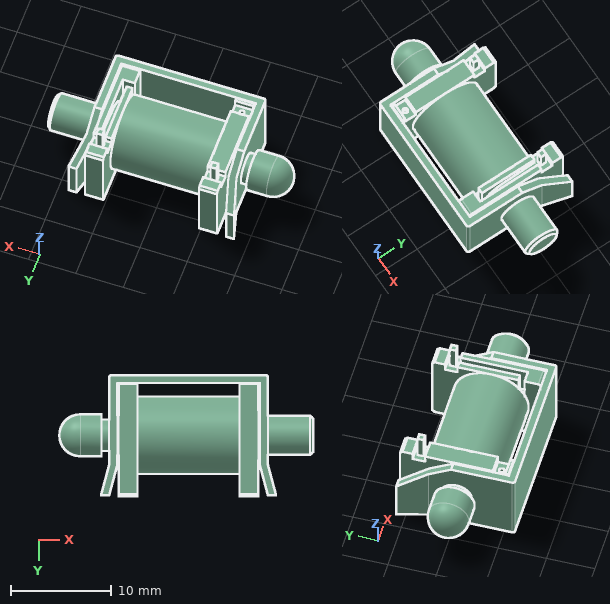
import cadquery as cq
import math


frame_length = 15.8
frame_half_depth = 6.0
half_height = 3.87
sheet = 0.8
frame_corner_radius = 0.25
flare_angle = 15.0
flare_start_y = 2.9
arm_slope_start_y = 0.55
arm_tip_z = 0.48

bobbin_length = 13.92
flange_thickness = 1.9
flange_front_y = -5.1
flange_back_y = 6.1
flange_edge = 0.25
barrel_radius = 2.8
bore_radius = 2.0
collar_radius = 2.5

pin_width = 0.63
pin_height = 2.5
pin_y = 4.15
notch_width = 1.3
notch_depth = 0.78
peg_hole_diameter = 0.53
peg_hole_depth = 0.63
passage_front_y = -3.45
ramp_top_z = 1.04

plunger_radius = 1.95
plunger_end_x = 12.42
plunger_chamfer = 0.3
neck_radius = 1.6
tip_radius = 2.1
tip_length = 4.23
tip_base_x = -8.65

frame_half = frame_length / 2
wall_inside = frame_half - sheet
bobbin_half = bobbin_length / 2
flange_inside = bobbin_half - flange_thickness
pin_x = bobbin_half - flange_thickness / 2
notch_floor = half_height - notch_depth
notch_inner_y = pin_y - notch_width / 2


def box(x0, x1, y0, y1, z0, z1):
    """Block between two opposite corners."""
    return cq.Workplane("XY").box(x1 - x0, y1 - y0, z1 - z0, centered=False).translate((x0, y0, z0))


def rod(radius, x0, x1):
    """Cylinder on the X axis."""
    return cq.Workplane("YZ").workplane(offset=x0).circle(radius).extrude(x1 - x0)


def make_frame():
    """Wall on the -Y side of the coil with two arms that flare outward at their free ends."""
    slope = math.tan(math.radians(flare_angle))
    inner_bend_y = flare_start_y + sheet * math.tan(math.radians(flare_angle / 2))
    outer_flare = (frame_half_depth - flare_start_y) * slope
    inner_flare = (frame_half_depth - inner_bend_y) * slope
    right_outer = [
        (frame_half, -frame_half_depth),
        (frame_half, flare_start_y),
        (frame_half + outer_flare, frame_half_depth),
    ]
    right_inner = [
        (wall_inside + inner_flare, frame_half_depth),
        (wall_inside, inner_bend_y),
        (wall_inside, sheet - frame_half_depth),
    ]
    right_side = right_outer + right_inner
    left_side = [(-x, y) for x, y in reversed(right_side)]
    frame = (
        cq.Workplane("XY")
        .workplane(offset=-half_height)
        .polyline(right_side + left_side)
        .close()
        .extrude(2 * half_height)
    )
    frame = frame.edges("|Z and <Y").fillet(frame_corner_radius)

    corner = (
        cq.Workplane("YZ")
        .polyline([
            (arm_slope_start_y, half_height),
            (frame_half_depth, arm_tip_z),
            (frame_half_depth, half_height),
        ])
        .close()
        .extrude(frame_length, both=True)
    )
    frame = frame.cut(corner)

    frame = frame.cut(rod(neck_radius, -frame_half, 0))
    return frame.cut(rod(plunger_radius, 0, frame_half))


def make_flange(x0):
    """Flange starting at x0, with its back edges chamfered and a notch for its pin."""
    flange = box(x0, x0 + flange_thickness, flange_front_y, flange_back_y, -half_height, half_height)
    flange = flange.edges("|X and >Y").chamfer(flange_edge)
    return flange.cut(make_notch(x0, pin_y))


def make_notch(x0, y):
    """Cutter for a notch across the top of a flange, centred on y."""
    half = notch_width / 2
    return box(x0, x0 + flange_thickness, y - half, y + half, notch_floor, half_height)


def make_wire_passage():
    """Slot in the right flange that leads the wire from the coil up to the pin."""
    slot_x0 = pin_x - pin_width / 2
    slot_x1 = pin_x + pin_width / 2
    channel = (
        cq.Workplane("YZ")
        .workplane(offset=slot_x0)
        .polyline([
            (0, barrel_radius),
            (notch_inner_y, notch_floor),
            (notch_inner_y, half_height),
            (0, half_height),
        ])
        .close()
        .extrude(pin_width)
    )
    ramp_bottom_z = ramp_top_z - (slot_x1 - flange_inside)
    pocket = (
        cq.Workplane("XZ")
        .polyline([
            (flange_inside, ramp_bottom_z),
            (slot_x1, ramp_top_z),
            (slot_x1, half_height),
            (flange_inside, half_height),
        ])
        .close()
        .extrude(-passage_front_y)
    )
    guide_wall = box(flange_inside, slot_x0, -barrel_radius, 0, -half_height, half_height)
    pocket = pocket.cut(guide_wall).cut(rod(barrel_radius, 0, bobbin_half))
    return channel.union(pocket)


def make_bobbin():
    """Two flanges, the barrel between them and a collar against the right frame wall."""
    left = make_flange(-bobbin_half).cut(make_notch(-bobbin_half, -pin_y))
    peg_hole = (
        cq.Workplane("XY", origin=(-pin_x, -pin_y, notch_floor))
        .circle(peg_hole_diameter / 2)
        .extrude(-peg_hole_depth)
    )
    left = left.cut(peg_hole)
    right = make_flange(flange_inside).edges("|X and <Y and >Z").fillet(flange_edge)
    right = right.cut(make_wire_passage())
    barrel = rod(barrel_radius, -flange_inside, flange_inside)
    collar = rod(collar_radius, bobbin_half, wall_inside)
    bobbin = left.union(barrel).union(right).union(collar)
    return bobbin.cut(rod(bore_radius, -bobbin_half, wall_inside))


def make_coil():
    """Winding that fills the space between the flanges, level with their top and bottom."""
    winding = rod(half_height, -flange_inside, flange_inside)
    return winding.cut(rod(barrel_radius, -flange_inside, flange_inside))


def make_core():
    """Fixed sleeve around the neck, between the left frame wall and the plunger shoulder."""
    sleeve = rod(bore_radius, -wall_inside, -flange_inside)
    return sleeve.cut(rod(neck_radius, -wall_inside, -flange_inside))


def make_plunger():
    """Plunger with a thinner neck that passes through the core to the tip."""
    body = rod(plunger_radius, -flange_inside, plunger_end_x).faces(">X").chamfer(plunger_chamfer)
    return body.union(rod(neck_radius, tip_base_x, -flange_inside))


def make_tip():
    """Cylinder with a hemispherical front end, revolved about the X axis."""
    tip_front_x = tip_base_x - tip_length
    dome_x = tip_front_x + tip_radius
    dome_middle = tip_radius * math.sqrt(0.5)
    return (
        cq.Workplane("XY")
        .moveTo(tip_front_x, 0)
        .threePointArc((dome_x - dome_middle, dome_middle), (dome_x, tip_radius))
        .lineTo(tip_base_x, tip_radius)
        .lineTo(tip_base_x, 0)
        .close()
        .revolve(360, (0, 0, 0), (1, 0, 0))
    )


def make_pin(x):
    """Square terminal pin standing on the notch floor."""
    half = pin_width / 2
    return box(x - half, x + half, pin_y - half, pin_y + half, notch_floor, notch_floor + pin_height)


frame = make_frame()
bobbin = make_bobbin()
coil = make_coil()
core = make_core()
plunger = make_plunger()
tip = make_tip()
pins = [make_pin(x) for x in (-pin_x, pin_x)]

result = cq.Compound.makeCompound([
    frame.val(),
    bobbin.val(),
    coil.val(),
    core.val(),
    plunger.val(),
    tip.val(),
    *[pin.val() for pin in pins],
])